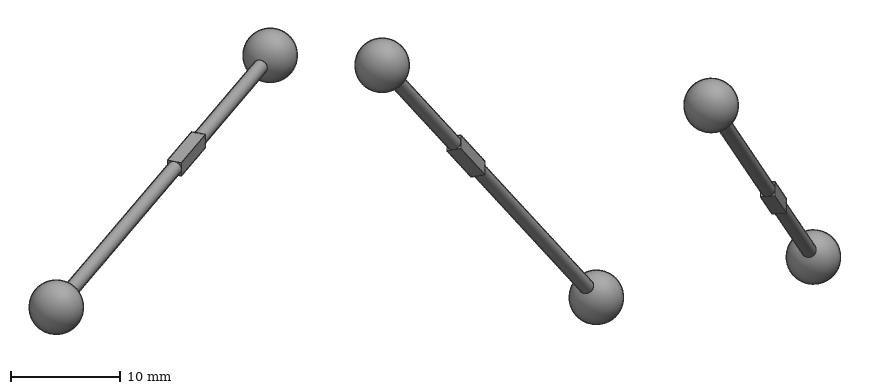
import cadquery as cq

ball_diameter = 5.0
overall_length = 58.0
rod_diameter = 1.37
block_length = 6.0
block_center_y = 5.77

ball_radius = ball_diameter / 2
ball_center_y = overall_length / 2 - ball_radius
block_side = rod_diameter


def make_ball(center_y):
    """Ball end turned about the Y axis from a half disc on the -X side."""
    return (
        cq.Workplane("XY")
        .moveTo(0, center_y - ball_radius)
        .threePointArc((-ball_radius, center_y), (0, center_y + ball_radius))
        .close()
        .revolve(360, (0, 0, 0), (0, 1, 0))
    )


def make_rod():
    """Round rod along Y, running from ball center to ball center."""
    return (
        cq.Workplane("XZ")
        .circle(rod_diameter / 2)
        .extrude(ball_center_y, both=True)
    )


def make_block():
    """Square block around the rod."""
    return (
        cq.Workplane("XY")
        .box(block_side, block_length, block_side)
        .translate((0, block_center_y, 0))
    )


result = make_rod().union(make_block())
for side in (-1, 1):
    result = result.union(make_ball(side * ball_center_y))